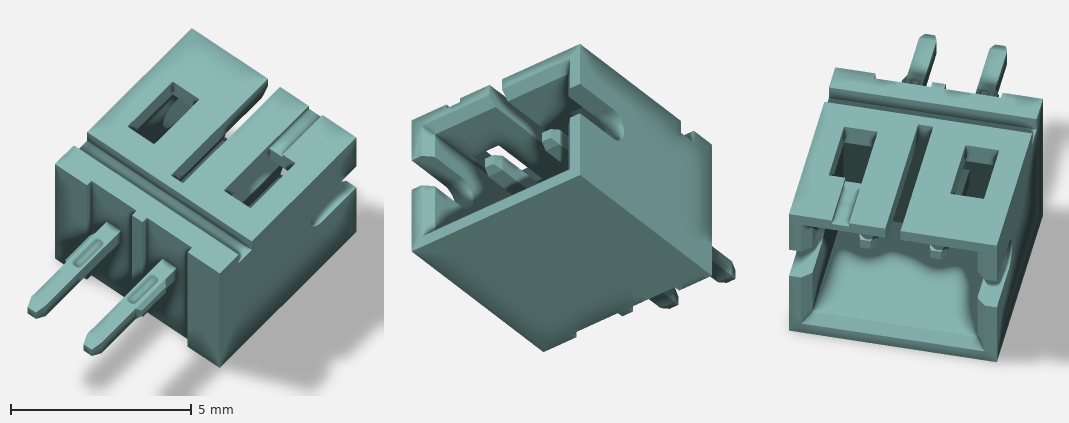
import cadquery as cq


HOUSING_WIDTH = 5.9
HOUSING_LENGTH = 6.0
HOUSING_HEIGHT = 4.5

WALL = 0.61
CAVITY_DEPTH = 4.26
LEAD_IN = 0.26

CENTRE_SLOT_WIDTH = 0.43
WINDOW_WIDTH = 0.96
WINDOW_LENGTH = 1.98
WINDOW_SPACING = 3.45
WINDOW_SETBACK = 1.75
KEY_GROOVE_WIDTH = 0.49
KEY_GROOVE_DEPTH = 0.13

CROSS_GROOVE_WIDTH = 0.58
CROSS_GROOVE_DEPTH = 0.4
CROSS_GROOVE_START = 0.83

NOTCH_HEIGHT = 1.01
NOTCH_LENGTH = 2.0
NOTCH_CENTRE_Z = 2.62

RECESS_WIDTH = 1.61
RECESS_DEPTH = 0.2
REAR_RIB_WIDTH = 0.39

PIN_PITCH = 2.0
PIN_SIZE = 0.5
PIN_CENTRE_Z = 2.8
PIN_TAIL = 3.4
PIN_SETBACK = 1.0
TIP_SIZE = 0.3
TIP_LENGTH = 0.29

STAKE_CENTRE_Y = -0.95
BULGE_LENGTH = 1.3
BULGE_HEIGHT = 0.12
DIMPLE_WIDTH = 0.4
DIMPLE_LENGTH = 1.26
DIMPLE_DEPTH = 0.1
DIMPLE_SLOPE_RUN = 0.17
DIMPLE_OFFSET = 0.02

DIMPLE_RADIUS = (DIMPLE_SLOPE_RUN**2 + DIMPLE_DEPTH**2) / (4 * DIMPLE_DEPTH)

PIN_REAR_Y = -PIN_TAIL
PIN_FRONT_Y = HOUSING_LENGTH - PIN_SETBACK
CUT_MARGIN = 0.09


def box(x, y, z):
    """Box spanning the given (low, high) ranges."""
    size = (x[1] - x[0], y[1] - y[0], z[1] - z[0])
    return cq.Workplane("XY").box(*size, centered=False).translate((x[0], y[0], z[0]))


def square_taper(y_start, size_start, y_end, size_end, x_centre):
    """Square frustum along +Y at pin height."""
    plane = cq.Plane(origin=(x_centre, y_start, PIN_CENTRE_Z), xDir=(-1, 0, 0), normal=(0, 1, 0))
    return (
        cq.Workplane(plane)
        .rect(size_start, size_start)
        .workplane(offset=y_end - y_start)
        .rect(size_end, size_end)
        .loft(ruled=True)
    )


def make_plain_pin(x_centre):
    """Square pin tapered at both ends."""
    rear_shoulder = PIN_REAR_Y + TIP_LENGTH
    front_shoulder = PIN_FRONT_Y - TIP_LENGTH
    rear_tip = square_taper(PIN_REAR_Y, TIP_SIZE, rear_shoulder, PIN_SIZE, x_centre)
    shank = square_taper(rear_shoulder, PIN_SIZE, front_shoulder, PIN_SIZE, x_centre)
    front_tip = square_taper(front_shoulder, PIN_SIZE, PIN_FRONT_Y, TIP_SIZE, x_centre)
    return shank.union(rear_tip).union(front_tip)


def dimple_section(plane, floor_length):
    """Dimple cross-section below the pin top: flat floor, concave fillets, then convex rounded rims."""
    floor_x = floor_length / 2
    middle_x = floor_x + DIMPLE_SLOPE_RUN / 2
    rim_x = floor_x + DIMPLE_SLOPE_RUN
    middle_z = -DIMPLE_DEPTH / 2
    return (
        cq.Workplane(plane)
        .moveTo(-floor_x, -DIMPLE_DEPTH)
        .lineTo(floor_x, -DIMPLE_DEPTH)
        .radiusArc((middle_x, middle_z), -DIMPLE_RADIUS)
        .radiusArc((rim_x, 0), DIMPLE_RADIUS)
        .lineTo(-rim_x, 0)
        .radiusArc((-middle_x, middle_z), DIMPLE_RADIUS)
        .radiusArc((-floor_x, -DIMPLE_DEPTH), -DIMPLE_RADIUS)
        .close()
    )


def dimple_corner():
    """Round corner of the dimple: the profile of one slope turned about a vertical axis."""
    return (
        cq.Workplane("XZ")
        .moveTo(0, -DIMPLE_DEPTH)
        .radiusArc((DIMPLE_SLOPE_RUN / 2, -DIMPLE_DEPTH / 2), -DIMPLE_RADIUS)
        .radiusArc((DIMPLE_SLOPE_RUN, 0), DIMPLE_RADIUS)
        .lineTo(0, 0)
        .close()
        .revolve(360, (0, 0), (0, 1))
    )


def cut_dimple(pin, x_centre):
    """Sink a rounded rectangular dimple into the pin's top."""
    top_z = PIN_CENTRE_Z + PIN_SIZE / 2
    floor_width = DIMPLE_WIDTH - 2 * DIMPLE_SLOPE_RUN
    floor_length = DIMPLE_LENGTH - 2 * DIMPLE_SLOPE_RUN
    trough = dimple_section("XZ", floor_width).extrude(floor_length / 2, both=True)
    end_walls = dimple_section("YZ", floor_length).extrude(floor_width / 2, both=True)
    dimple = trough.union(end_walls)
    for x in (-floor_width / 2, floor_width / 2):
        for y in (-floor_length / 2, floor_length / 2):
            dimple = dimple.union(dimple_corner().translate((x, y, 0)))
    return pin.cut(dimple.translate((x_centre, STAKE_CENTRE_Y, top_z)))


def make_bulge(x_face, side):
    """Raised pad with 45-degree flanks on the pin side facing the given direction."""
    plane = cq.Plane(origin=(x_face, STAKE_CENTRE_Y, PIN_CENTRE_Z), xDir=(0, 1, 0), normal=(side, 0, 0))
    return (
        cq.Workplane(plane)
        .rect(BULGE_LENGTH, PIN_SIZE)
        .workplane(offset=BULGE_HEIGHT)
        .rect(BULGE_LENGTH - 2 * BULGE_HEIGHT, PIN_SIZE - 2 * BULGE_HEIGHT)
        .loft(ruled=True)
    )


def make_pin(side):
    """Pin on the -X (side = -1) or +X (side = 1) half, staked outwards."""
    x_centre = side * PIN_PITCH / 2
    pin = make_plain_pin(x_centre)
    pin = cut_dimple(pin, x_centre - side * DIMPLE_OFFSET)
    return pin.union(make_bulge(x_centre + side * PIN_SIZE / 2, side))


def cut_cavity(body):
    """Rectangular cavity from the +Y end, with a 45-degree lead-in around its mouth."""
    cavity_width = HOUSING_WIDTH - 2 * WALL
    cavity_height = HOUSING_HEIGHT - 2 * WALL
    mouth = cq.Plane(origin=(0, HOUSING_LENGTH, HOUSING_HEIGHT / 2), xDir=(1, 0, 0), normal=(0, -1, 0))
    cavity = cq.Workplane(mouth).rect(cavity_width, cavity_height).extrude(CAVITY_DEPTH)
    lead_in = (
        cq.Workplane(mouth)
        .rect(cavity_width + 2 * LEAD_IN, cavity_height + 2 * LEAD_IN)
        .workplane(offset=LEAD_IN)
        .rect(cavity_width, cavity_height)
        .loft(ruled=True)
    )
    return body.cut(cavity).cut(lead_in)


def cut_top_openings(body):
    """Centre slot, two windows and the key groove from the +X window to the mouth."""
    through_wall = (HOUSING_HEIGHT - WALL - CUT_MARGIN, HOUSING_HEIGHT)
    half_slot = CENTRE_SLOT_WIDTH / 2
    slot_y = (HOUSING_LENGTH - CAVITY_DEPTH, HOUSING_LENGTH)
    body = body.cut(box((-half_slot, half_slot), slot_y, through_wall))

    window_front = HOUSING_LENGTH - WINDOW_SETBACK
    window_y = (window_front - WINDOW_LENGTH, window_front)
    for side in (-1, 1):
        centre = side * WINDOW_SPACING / 2
        window_x = (centre - WINDOW_WIDTH / 2, centre + WINDOW_WIDTH / 2)
        body = body.cut(box(window_x, window_y, through_wall))

    key_start = (WINDOW_SPACING - WINDOW_WIDTH) / 2
    key_x = (key_start, key_start + KEY_GROOVE_WIDTH)
    key_z = (HOUSING_HEIGHT - KEY_GROOVE_DEPTH, HOUSING_HEIGHT)
    return body.cut(box(key_x, (window_front, HOUSING_LENGTH), key_z))


def cut_cross_groove(body):
    """Groove across the full width of the top."""
    half_width = HOUSING_WIDTH / 2
    groove_y = (CROSS_GROOVE_START, CROSS_GROOVE_START + CROSS_GROOVE_WIDTH)
    groove_z = (HOUSING_HEIGHT - CROSS_GROOVE_DEPTH, HOUSING_HEIGHT)
    return body.cut(box((-half_width, half_width), groove_y, groove_z))


def cut_side_notches(body):
    """Round-ended notch through both side walls, open at the mouth."""
    radius = NOTCH_HEIGHT / 2
    arc_centre_y = HOUSING_LENGTH - NOTCH_LENGTH + radius
    notch = (
        cq.Workplane("YZ")
        .moveTo(HOUSING_LENGTH, NOTCH_CENTRE_Z - radius)
        .lineTo(HOUSING_LENGTH, NOTCH_CENTRE_Z + radius)
        .lineTo(arc_centre_y, NOTCH_CENTRE_Z + radius)
        .threePointArc((arc_centre_y - radius, NOTCH_CENTRE_Z), (arc_centre_y, NOTCH_CENTRE_Z - radius))
        .close()
        .extrude(HOUSING_WIDTH / 2, both=True)
    )
    return body.cut(notch)


def cut_rear_recesses(body):
    """Full-height shallow recess around each pin exit."""
    for side in (-1, 1):
        centre = side * (REAR_RIB_WIDTH + RECESS_WIDTH) / 2
        recess_x = (centre - RECESS_WIDTH / 2, centre + RECESS_WIDTH / 2)
        body = body.cut(box(recess_x, (0, RECESS_DEPTH), (0, HOUSING_HEIGHT)))
    return body


def make_housing(pin_bodies):
    """Housing with a matching hole for every pin."""
    half_width = HOUSING_WIDTH / 2
    body = box((-half_width, half_width), (0, HOUSING_LENGTH), (0, HOUSING_HEIGHT))
    body = cut_cavity(body)
    body = cut_top_openings(body)
    body = cut_cross_groove(body)
    body = cut_side_notches(body)
    body = cut_rear_recesses(body)
    for pin in pin_bodies:
        body = body.cut(pin)
    return body


pins = [make_pin(side) for side in (-1, 1)]
housing = make_housing(pins)

result = cq.Compound.makeCompound([housing.val(), *[pin.val() for pin in pins]])